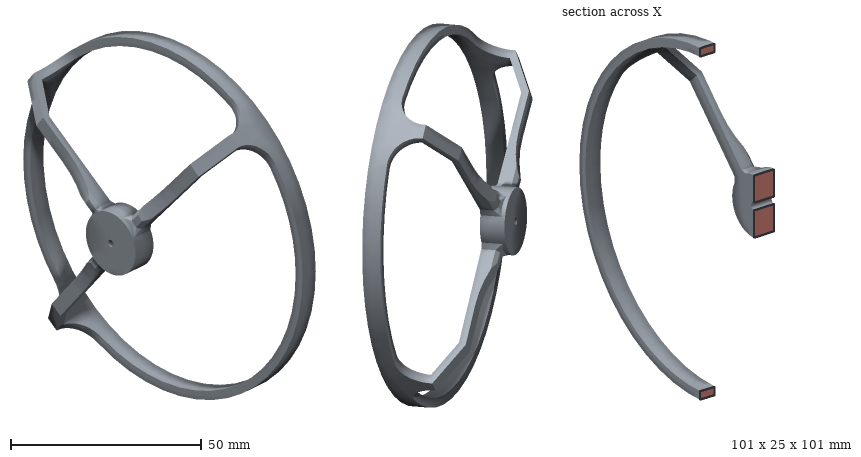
import cadquery as cq
import math

rim_diameter = 101.0
rim_inner_diameter = 96.0
rim_depth = 5.0
hub_diameter = 18.0
hub_back = 18.2
hub_front = 25.0
bore_diameter = 2.0

spoke_angles = (48.0, 142.0, 230.7)
spoke_width = 4.0
spoke_thickness = 2.0
post_depth = 13.5
fold_radius = 38.4
flare_radius = 8.1

gusset_outer_radius = 26.4
gusset_inner_radius = 13.1
gusset_front = 23.1
gusset_chamfer = 1.0
collar_growth = 1.0
collar_outer_radius = 9.9

rim_radius = rim_diameter / 2
hub_radius = hub_diameter / 2
spoke_front = hub_back + spoke_thickness
half_width = spoke_width / 2
blank_radius = rim_radius + 2.0
collar_half_width = half_width + collar_growth
collar_inner_radius = math.sqrt(hub_radius**2 - collar_half_width**2)


def disc(diameter, back, front):
    """Cylinder on the wheel axis between two depths."""
    plane = cq.Workplane("XZ", origin=(0, -back, 0))
    return plane.circle(diameter / 2).extrude(front - back)


def spoke_profile(points):
    """Extrude a (radius, depth) polygon across the spoke, lying along +X."""
    outline = [(radius, -depth) for radius, depth in points]
    return cq.Workplane("XY").polyline(outline).close().extrude(half_width, both=True)


def make_arm():
    """Bent plate: a flat arm from the hub, then a slope running past the rim edge."""
    slope = math.atan2(spoke_front - post_depth, rim_radius - fold_radius)
    inner_fold_radius = fold_radius - spoke_thickness * math.tan(slope / 2)
    end_front = spoke_front - (blank_radius - fold_radius) * math.tan(slope)
    end_back = hub_back - (blank_radius - inner_fold_radius) * math.tan(slope)
    return spoke_profile([
        (0, hub_back),
        (inner_fold_radius, hub_back),
        (blank_radius, end_back),
        (blank_radius, end_front),
        (fold_radius, spoke_front),
        (0, spoke_front),
    ])


def make_post():
    """Post flared into the rim by a concave quarter round on each side."""
    reach = half_width + flare_radius
    tip_depth = rim_depth + flare_radius
    arc_offset = flare_radius * (1 - math.sqrt(0.5))
    mid_width = half_width + arc_offset
    mid_depth = rim_depth + arc_offset
    return (
        cq.Workplane("YZ")
        .moveTo(-rim_depth, -reach)
        .threePointArc((-mid_depth, -mid_width), (-tip_depth, -half_width))
        .lineTo(-tip_depth, half_width)
        .threePointArc((-mid_depth, mid_width), (-rim_depth, reach))
        .lineTo(-rim_depth / 2, reach)
        .lineTo(-rim_depth / 2, -reach)
        .close()
        .extrude(blank_radius)
    )


def root_section(radius, growth, chamfer):
    """Spoke root outline at a radius, grown at its sides and front, with cut front corners."""
    side = half_width + growth
    front = gusset_front + growth
    plane = cq.Workplane("YZ", origin=(radius, 0, 0))
    if chamfer == 0:
        corners = [(-front, -side), (-front, side)]
    else:
        corners = [
            (-front + chamfer, -side),
            (-front, -side + chamfer),
            (-front, side - chamfer),
            (-front + chamfer, side),
        ]
    return plane.polyline([(-hub_back, -side), *corners, (-hub_back, side)]).close()


def make_gusset():
    """Spoke root that deepens along a tangent arc, with chamfered front edges."""
    run = gusset_outer_radius - gusset_inner_radius
    rise = gusset_front - spoke_front
    arc_radius = (run**2 + rise**2) / (2 * rise)
    half_sweep = math.atan2(rise, run)
    mid_radius = gusset_outer_radius - arc_radius * math.sin(half_sweep)
    mid_depth = spoke_front + arc_radius * (1 - math.cos(half_sweep))
    gusset = (
        cq.Workplane("XY")
        .moveTo(0, -hub_back)
        .lineTo(gusset_outer_radius, -hub_back)
        .lineTo(gusset_outer_radius, -spoke_front)
        .threePointArc((mid_radius, -mid_depth), (gusset_inner_radius, -gusset_front))
        .lineTo(0, -gusset_front)
        .close()
        .extrude(half_width, both=True)
    )
    return gusset.intersect(root_section(0, 0, gusset_chamfer).extrude(gusset_outer_radius))


def tetrahedron(points):
    """Solid with the four given points as its corners."""
    faces = []
    for skipped in range(4):
        triangle = [cq.Vector(*p) for i, p in enumerate(points) if i != skipped]
        faces.append(cq.Face.makeFromWires(cq.Wire.makePolygon(triangle, close=True)))
    return cq.Solid.makeSolid(cq.Shell.makeShell(faces))


def make_collar():
    """Tapered collar whose front corners run from the spoke's chamfers to sharp hub corners."""
    outer = root_section(collar_outer_radius, 0, 0).wires().val()
    inner = root_section(collar_inner_radius, collar_growth, 0).wires().val()
    collar = cq.Workplane(cq.Solid.makeLoft([outer, inner], True))
    for side in (-1, 1):
        collar = collar.cut(cq.Workplane(tetrahedron([
            (collar_outer_radius, -gusset_front, side * half_width),
            (collar_outer_radius, -gusset_front + gusset_chamfer, side * half_width),
            (collar_outer_radius, -gusset_front, side * (half_width - gusset_chamfer)),
            (collar_inner_radius, -gusset_front - collar_growth, side * collar_half_width),
        ])))
    return collar


def around_axis(body, angle):
    """Turn a body about -Y, which carries +X toward +Z."""
    return body.rotate((0, 0, 0), (0, -1, 0), angle)


post = make_post()
rim = disc(2 * blank_radius, 0, rim_depth)
for angle in spoke_angles:
    rim = rim.union(around_axis(post, angle))
rim = rim.cut(disc(rim_inner_diameter, 0, hub_front))

spoke = make_arm().union(make_gusset()).union(make_collar())
result = rim.union(disc(hub_diameter, hub_back, hub_front))
for angle in spoke_angles:
    result = result.union(around_axis(spoke, angle))

result = result.intersect(disc(rim_diameter, 0, hub_front))
result = result.cut(disc(bore_diameter, hub_back, hub_front))